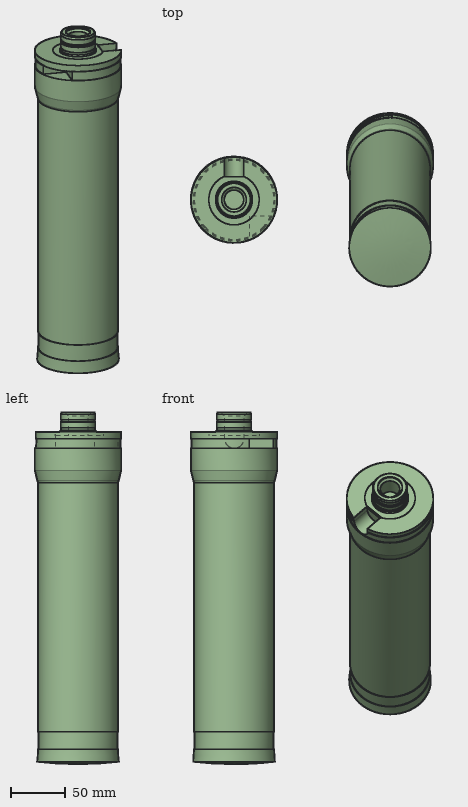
import cadquery as cq

dome_edge_z = 2.3
skirt_top_z = 14.0
lower_band_top_z = 30.0
neck_cone_base_z = 260.0
collar_cone_base_z = 262.0
collar_base_z = 271.5
collar_band_base_z = 292.0
collar_band_top_z = 300.5
collar_top_z = 306.8
total_height = 325.0

tube_radius = 74.0 / 2
lower_band_radius = 73.0 / 2
skirt_bottom_radius = 75.7 / 2
collar_radius = 80.0 / 2
collar_band_radius = 78.5 / 2
collar_cone_small_radius = 37.7

keyway_width = 17.5
keyway_radius = keyway_width / 2
keyway_end_y = 21.0
keyway_floor_z = collar_band_base_z

notch_side_x = 14.3
notch_wall_y = -15.0

hub_radius = 46.5 / 2
hub_base_z = 303.5
spigot_radius = 32.2 / 2
spigot_groove_radius = 31.0 / 2
relief_radius = 32.0 / 2
foot_radius = 34.0 / 2
foot_height = 1.3
relief_top_z = 310.5
groove_base_z = 315.5
groove_bevel = spigot_radius - spigot_groove_radius
groove_top_z = 318.0
spigot_bevel_height = 2.0
spigot_bevel_width = 1.0

bore_radius = 18.0 / 2
bore_mouth_radius = 22.8 / 2
bore_mouth_depth = 1.3
bore_bevel_base_depth = 3.2
bore_depth = 22.8
bore_tip_depth = 4.5


def keyway_cutter():
    """U-shaped channel running outward along +Y from its flat end."""
    length = collar_radius
    round_axis_z = keyway_floor_z + keyway_radius
    round_floor = (
        cq.Workplane("XZ", origin=(0, keyway_end_y, round_axis_z))
        .circle(keyway_radius)
        .extrude(-length)
    )
    straight_sides = cq.Workplane("XY").box(
        keyway_width, length, total_height - round_axis_z, centered=(True, False, False)
    ).translate((0, keyway_end_y, round_axis_z))
    return round_floor.union(straight_sides)


def notch_cutter():
    """Block that squares off the +X, -Y corner of the collar band."""
    return cq.Workplane("XY").box(
        collar_radius, collar_radius, collar_band_top_z - collar_band_base_z, centered=False
    ).translate((notch_side_x, notch_wall_y - collar_radius, collar_band_base_z))


def make_hub():
    """Round hub with a flat where the keyway ends."""
    return (
        cq.Workplane("XY", origin=(0, 0, hub_base_z))
        .circle(hub_radius)
        .extrude(collar_top_z - hub_base_z)
        .cut(keyway_cutter())
    )


def make_housing():
    """Long cylinder with a domed base, a stepped collar and a seat for the hub."""
    dome_radius = (skirt_bottom_radius**2 + dome_edge_z**2) / (2 * dome_edge_z)
    mid_radius = skirt_bottom_radius / 2
    mid_z = dome_radius - (dome_radius**2 - mid_radius**2) ** 0.5
    body = (
        cq.Workplane("XZ")
        .moveTo(0, 0)
        .threePointArc((mid_radius, mid_z), (skirt_bottom_radius, dome_edge_z))
        .lineTo(tube_radius, skirt_top_z)
        .lineTo(lower_band_radius, skirt_top_z)
        .lineTo(lower_band_radius, lower_band_top_z)
        .lineTo(tube_radius, lower_band_top_z)
        .lineTo(tube_radius, neck_cone_base_z)
        .lineTo(collar_cone_small_radius, collar_cone_base_z)
        .lineTo(collar_radius, collar_base_z)
        .lineTo(collar_radius, collar_band_base_z)
        .lineTo(collar_band_radius, collar_band_base_z)
        .lineTo(collar_band_radius, collar_band_top_z)
        .lineTo(collar_radius, collar_band_top_z)
        .lineTo(collar_radius, collar_top_z)
        .lineTo(0, collar_top_z)
        .close()
        .revolve(360, (0, 0, 0), (0, 1, 0))
    )
    return body.cut(keyway_cutter()).cut(notch_cutter()).cut(make_hub())


def make_bore():
    """Drilled hole with a bevelled counterbore and a conical tip."""
    return (
        cq.Workplane("XZ")
        .moveTo(0, total_height)
        .lineTo(bore_mouth_radius, total_height)
        .lineTo(bore_mouth_radius, total_height - bore_mouth_depth)
        .lineTo(bore_radius, total_height - bore_bevel_base_depth)
        .lineTo(bore_radius, total_height - bore_depth)
        .lineTo(0, total_height - bore_depth - bore_tip_depth)
        .close()
        .revolve(360, (0, 0, 0), (0, 1, 0))
    )


def make_connector():
    """Hub carrying a grooved spigot with a blind bore."""
    spigot = (
        cq.Workplane("XZ")
        .moveTo(0, collar_top_z)
        .lineTo(foot_radius, collar_top_z)
        .lineTo(relief_radius, collar_top_z + foot_height)
        .lineTo(relief_radius, relief_top_z)
        .lineTo(spigot_radius, relief_top_z)
        .lineTo(spigot_radius, groove_base_z)
        .lineTo(spigot_groove_radius, groove_base_z + groove_bevel)
        .lineTo(spigot_groove_radius, groove_top_z)
        .lineTo(spigot_radius, groove_top_z)
        .lineTo(spigot_radius, total_height - spigot_bevel_height)
        .lineTo(spigot_radius - spigot_bevel_width, total_height)
        .lineTo(0, total_height)
        .close()
        .revolve(360, (0, 0, 0), (0, 1, 0))
    )
    return make_hub().union(spigot).cut(make_bore())


housing = make_housing()
connector = make_connector()
result = cq.Compound.makeCompound([*housing.solids().vals(), *connector.solids().vals()])